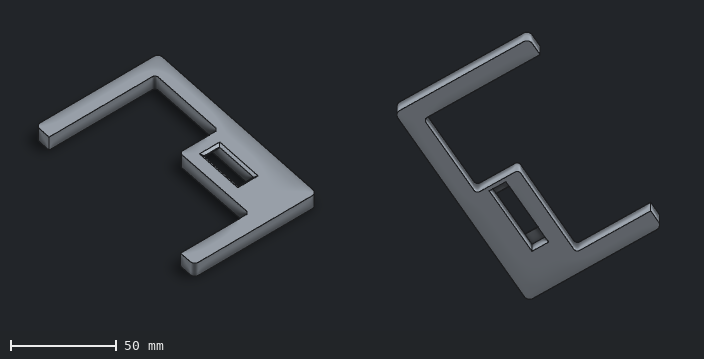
import cadquery as cq

length = 118.5
depth = 75.0
thickness = 9.0

bar_width = 10.1
block_left = 56.8
block_front_left = 41.4
block_front_right = 41.7
outer_radius = 3.0
cutout_radius = 2.0

window_length = 25.6
window_width = 9.2
window_x = 77.9
window_y = 54.4
bevel_width = 1.5
bevel_depth = 1.2
lip_height = 0.6
recess_length = 38.0


def make_frame():
    right_leg = length - bar_width
    rear_bar = depth - bar_width
    frame = (
        cq.Workplane("XY")
        .polyline([
            (0, 0),
            (bar_width, 0),
            (bar_width, rear_bar),
            (block_left, rear_bar),
            (block_left, block_front_left),
            (right_leg, block_front_right),
            (right_leg, 0),
            (length, 0),
            (length, depth),
            (0, depth),
        ])
        .close()
        .extrude(thickness)
    )
    outer_corners = [(0, 0), (length, 0), (length, depth), (0, depth)]
    cutout_corners = [
        (bar_width, rear_bar),
        (block_left, rear_bar),
        (block_left, block_front_left),
        (right_leg, block_front_right),
    ]
    frame = round_corners(frame, outer_corners, outer_radius)
    return round_corners(frame, cutout_corners, cutout_radius)


def round_corners(body, corners, radius):
    """Fillet the vertical edges that stand at the given corners."""
    for x, y in corners:
        edge = cq.selectors.NearestToPointSelector((x, y, thickness / 2))
        body = body.edges("|Z").edges(edge).fillet(radius)
    return body


def make_window():
    """Bevelled window with a longer recess behind its lip."""
    centre = cq.Workplane("XY").center(window_x, window_y)
    opening = centre.rect(window_length, window_width).extrude(thickness)
    bevel_bottom = thickness - bevel_depth
    bevel = (
        centre.workplane(offset=bevel_bottom)
        .rect(window_length, window_width)
        .workplane(offset=bevel_depth)
        .rect(window_length + 2 * bevel_width, window_width + 2 * bevel_width)
        .loft(ruled=True)
    )
    recess = centre.rect(recess_length, window_width).extrude(bevel_bottom - lip_height)
    return opening.union(bevel).union(recess)


result = make_frame().cut(make_window())